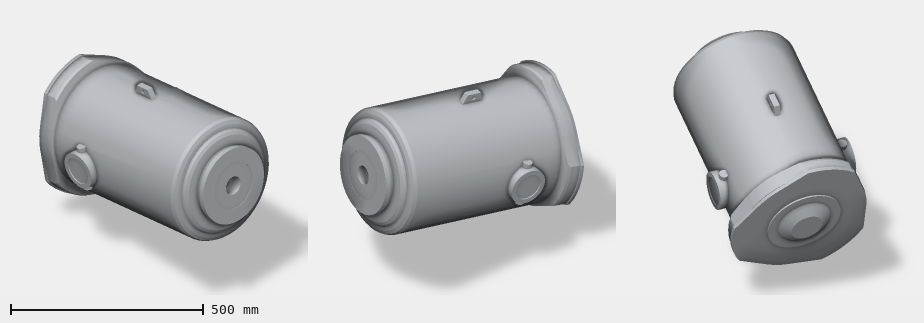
import cadquery as cq
import math

TILT_ANGLE = 12.0

BARREL_RADIUS = 169.0
SHOULDER_START = 341.0
SHOULDER_MIDDLE = 350.8
SHOULDER_MIDDLE_RADIUS = 165.0
SHOULDER_END = 355.5
SHOULDER_END_RADIUS = 155.0
RING_START = 357.0
RING_RADIUS = 144.0
RING_MIDDLE = 364.5
RING_MIDDLE_RADIUS = 139.0
RING_END = 369.5
RING_END_RADIUS = 131.0
NECK_START = 372.5

NECK_RADIUS = 104.0
NECK_END = 384.0
HUB_RADIUS = 106.0
HUB_END = 397.4
HUB_DISC_RADIUS = 66.0
HUB_DISC_DEPTH = 1.0
HUB_BORE_RADIUS = 25.5
HUB_BORE_DEPTH = 40.0

FIRST_LOBE_ANGLE = 110.0
LOBE_COUNT = 3
LOBE_SPACING = 360.0 / LOBE_COUNT
LOBE_HALF_ANGLE = 21.0
LIP_FRONT = -162.0
LIP_THICKNESS = 10.0
LIP_LOBE_RADIUS = 200.0
LIP_WAIST_RADIUS = 175.0
PLATE_FRONT = LIP_FRONT + LIP_THICKNESS
PLATE_LOBE_RADIUS = 195.5
PLATE_WAIST_RADIUS = 177.0
PLATE_RIM_END = -124.7
PLATE_BEVEL_MIDDLE = -117.2
PLATE_BEVEL_MIDDLE_RADIUS = 192.5
PLATE_BEVEL_END = -114.0
PLATE_BEVEL_END_RADIUS = 181.0
PLATE_BACK = -109.0

FACE_DISC_RADIUS = 101.0
FACE_DISC_HEIGHT = 4.5
CONE_BASE_RADIUS = 73.5
CONE_TIP_RADIUS = 43.0
CONE_HEIGHT = 20.0

TRUNNION_RADIUS = 51.0
TRUNNION_REACH = 189.0
TRUNNION_RECESS_RADIUS = 38.0
TRUNNION_RECESS_DEPTH = 3.0
PIN_RADIUS = 12.5
PIN_OFFSET = 165.0
PIN_REACH = 64.0

LUG_CENTER = 93.5
LUG_BASE_LENGTH = 63.0
LUG_TOP_LENGTH = 40.0
LUG_THICKNESS = 16.0
LUG_TOP = 195.5
LUG_ROOT_DEPTH = 2.0
LUG_HOLE_RADIUS = 6.5
LUG_HOLE_HEIGHT = 183.0


def polar(radius, degrees):
    """Point at the given radius and angle in the plane across the axis."""
    angle = math.radians(degrees)
    return (radius * math.cos(angle), radius * math.sin(angle))


def cylinder(radius, start, end):
    """Cylinder along the part axis between two positions."""
    return cq.Workplane("YZ").workplane(offset=start).circle(radius).extrude(end - start)


def turned(start, profile):
    """Solid turned about the part axis, through (position, radius) points after a flat start face."""
    end = profile[-1][0]
    outline = [(start, 0), (start, profile[0][1])] + profile + [(end, 0)]
    return cq.Workplane("XY").polyline(outline).close().revolve(360, (0, 0, 0), (1, 0, 0))


def lobed_plate(lobe_radius, waist_radius, start, end):
    """Plate with lobe arcs joined by waist arcs and the straight lines tangent to them."""
    tangent_span = math.degrees(math.acos(waist_radius / lobe_radius))
    outline = cq.Workplane("YZ").workplane(offset=start)
    outline = outline.moveTo(*polar(lobe_radius, FIRST_LOBE_ANGLE - LOBE_HALF_ANGLE))
    for index in range(LOBE_COUNT):
        lobe = FIRST_LOBE_ANGLE + index * LOBE_SPACING
        lobe_end = lobe + LOBE_HALF_ANGLE
        next_lobe_start = lobe + LOBE_SPACING - LOBE_HALF_ANGLE
        waist = lobe + LOBE_SPACING / 2
        outline = outline.threePointArc(polar(lobe_radius, lobe), polar(lobe_radius, lobe_end))
        outline = outline.lineTo(*polar(waist_radius, lobe_end + tangent_span))
        outline = outline.threePointArc(
            polar(waist_radius, waist), polar(waist_radius, next_lobe_start - tangent_span)
        )
        outline = outline.lineTo(*polar(lobe_radius, next_lobe_start))
    return outline.close().extrude(end - start)


def make_barrel():
    """Barrel with its stepped end, the hub and its bore."""
    barrel = turned(
        PLATE_FRONT,
        [
            (SHOULDER_START, BARREL_RADIUS),
            (SHOULDER_MIDDLE, SHOULDER_MIDDLE_RADIUS),
            (SHOULDER_END, SHOULDER_END_RADIUS),
            (RING_START, RING_RADIUS),
            (RING_MIDDLE, RING_MIDDLE_RADIUS),
            (RING_END, RING_END_RADIUS),
            (NECK_START, NECK_RADIUS),
            (NECK_END, NECK_RADIUS),
        ],
    )
    hub = cylinder(HUB_RADIUS, NECK_END, HUB_END)
    disc_recess = cylinder(HUB_DISC_RADIUS, HUB_END - HUB_DISC_DEPTH, HUB_END)
    bore = cylinder(HUB_BORE_RADIUS, HUB_END - HUB_BORE_DEPTH, HUB_END)
    return barrel.union(hub).cut(disc_recess).cut(bore)


def make_flange():
    """Lip and plate; the back of the plate is turned to three cones that lead down to the barrel."""
    lip = lobed_plate(LIP_LOBE_RADIUS, LIP_WAIST_RADIUS, LIP_FRONT, PLATE_FRONT)
    plate = lobed_plate(PLATE_LOBE_RADIUS, PLATE_WAIST_RADIUS, PLATE_FRONT, PLATE_BACK)
    envelope = turned(
        PLATE_FRONT,
        [
            (PLATE_RIM_END, PLATE_LOBE_RADIUS),
            (PLATE_BEVEL_MIDDLE, PLATE_BEVEL_MIDDLE_RADIUS),
            (PLATE_BEVEL_END, PLATE_BEVEL_END_RADIUS),
            (PLATE_BACK, BARREL_RADIUS),
        ],
    )
    return lip.union(plate.intersect(envelope))


def make_face_boss():
    """Low disc on the flange face carrying a truncated cone."""
    disc_face = LIP_FRONT - FACE_DISC_HEIGHT
    disc = cylinder(FACE_DISC_RADIUS, disc_face, LIP_FRONT)
    cone = cq.Solid.makeCone(
        CONE_BASE_RADIUS, CONE_TIP_RADIUS, CONE_HEIGHT, cq.Vector(disc_face, 0, 0), cq.Vector(-1, 0, 0)
    )
    return disc.union(cq.Workplane(cone))


def make_trunnions():
    """Cross shaft with recessed ends, and a through pin near each end."""
    shaft = cq.Workplane("XZ").circle(TRUNNION_RADIUS).extrude(TRUNNION_REACH, both=True)
    recess_floor = TRUNNION_REACH - TRUNNION_RECESS_DEPTH
    core = cq.Workplane("XZ").circle(TRUNNION_RECESS_RADIUS).extrude(recess_floor, both=True)
    bore = cq.Workplane("XZ").circle(TRUNNION_RECESS_RADIUS).extrude(TRUNNION_REACH, both=True)
    pin_places = [(0, -PIN_OFFSET), (0, PIN_OFFSET)]
    pins = cq.Workplane("XY").pushPoints(pin_places).circle(PIN_RADIUS).extrude(PIN_REACH, both=True)
    return shaft.union(pins).cut(bore.cut(core))


def make_lug():
    """Trapezoidal lifting lug with a cross hole, rooted slightly inside the barrel."""
    root = BARREL_RADIUS - LUG_ROOT_DEPTH
    lug = (
        cq.Workplane("XZ")
        .moveTo(LUG_CENTER - LUG_BASE_LENGTH / 2, root)
        .lineTo(LUG_CENTER + LUG_BASE_LENGTH / 2, root)
        .lineTo(LUG_CENTER + LUG_BASE_LENGTH / 2, BARREL_RADIUS)
        .lineTo(LUG_CENTER + LUG_TOP_LENGTH / 2, LUG_TOP)
        .lineTo(LUG_CENTER - LUG_TOP_LENGTH / 2, LUG_TOP)
        .lineTo(LUG_CENTER - LUG_BASE_LENGTH / 2, BARREL_RADIUS)
        .close()
        .extrude(LUG_THICKNESS / 2, both=True)
    )
    hole = (
        cq.Workplane("XZ")
        .center(LUG_CENTER, LUG_HOLE_HEIGHT)
        .circle(LUG_HOLE_RADIUS)
        .extrude(LUG_THICKNESS, both=True)
    )
    return lug.cut(hole)


body = make_barrel()
for feature in (make_flange(), make_face_boss(), make_trunnions(), make_lug()):
    body = body.union(feature)

result = body.rotate((0, 0, 0), (0, 1, 0), -TILT_ANGLE)